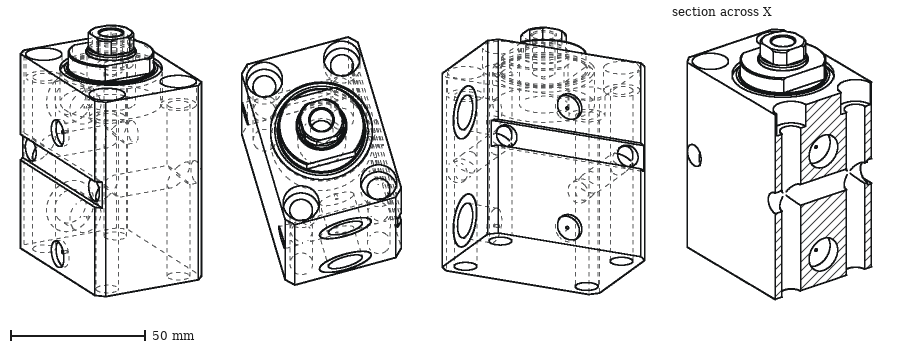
import cadquery as cq
import math

TOTAL_HEIGHT = 91.0

BLOCK_X = 65.0
BLOCK_Y = 45.0
BLOCK_Z = 77.0
CORNER_CHAMFER = 3.0

SCREW_X = 25.0
SCREW_Y = 15.0
SCREW_DIAMETER = 8.5
COUNTERBORE_DIAMETER = 13.5
COUNTERBORE_DEPTH = 9.0
CROSS_HOLE_Z = 40.0

SLOT_HEIGHT = 10.2
SLOT_DEPTH = 2.0

SIDE_PORT_HEIGHTS = (12.0, 55.0)
SIDE_PORT_DIAMETER = 13.1
SIDE_PORT_DEPTH = 12.0
SPOTFACE_DIAMETER = 20.0
SPOTFACE_DEPTH = 0.1

FRONT_PORT_HEIGHTS = (7.0, 55.0)
FRONT_PILOT_HEIGHTS = (7.5, 55.0)
FRONT_PORT_DIAMETER = 10.0
FRONT_PORT_DEPTH = 2.0

PILOT_DIAMETER = 1.0
PILOT_DEPTH = 2.0

PLUG_DIAMETER = 38.0
PLUG_DEPTH = 13.65
PLUG_CHAMFER = 1.6
COLLAR_DIAMETER = 32.0
COLLAR_HEIGHT = 6.4
COLLAR_CHAMFER = 0.5
COLLAR_FLATS = 25.9
FOOT_FLARE = 0.5
FOOT_HEIGHT = 0.4
GLAND_BORE_CHAMFER = 0.5

ROD_DIAMETER = 18.0
SHANK_RISE = 8.0
SHANK_CHAMFER = 0.6
HEAD_DIAMETER = 17.0
HEAD_FLATS = 15.0
HEAD_CHAMFER = 0.6
ROD_HOLE_DIAMETER = 8.55
ROD_HOLE_DEPTH = 15.0
ROD_HOLE_CHAMFER = 0.5
DRILL_ANGLE = 118

SEAT_FLOOR_Z = BLOCK_Z - PLUG_DEPTH
SHANK_TOP_Z = BLOCK_Z + SHANK_RISE


def upright_cylinder(diameter, bottom_z, top_z):
    """Cylinder on the Z axis between two heights."""
    base = cq.Workplane("XY").workplane(offset=bottom_z)
    return base.circle(diameter / 2).extrude(top_z - bottom_z)


def upright_prism(size_x, size_y, bottom_z, top_z):
    """Rectangular block on the Z axis between two heights."""
    base = cq.Workplane("XY").workplane(offset=bottom_z)
    return base.rect(size_x, size_y).extrude(top_z - bottom_z)


def bore_from_left(diameter, depth, start_depth, height):
    """Round cutter going in +X from a given depth below the -X face."""
    start = cq.Vector(start_depth - BLOCK_X / 2, 0, height)
    return cq.Workplane(cq.Solid.makeCylinder(diameter / 2, depth, start, cq.Vector(1, 0, 0)))


def bore_from_front(diameter, depth, start_depth, height, x=0):
    """Round cutter going in +Y from a given depth below the -Y face."""
    start = cq.Vector(x, start_depth - BLOCK_Y / 2, height)
    return cq.Workplane(cq.Solid.makeCylinder(diameter / 2, depth, start, cq.Vector(0, 1, 0)))


def cut_screw_holes(block):
    """Counterbored vertical holes near the corners, and the two cross holes."""
    block = (
        block.faces(">Z").workplane(origin=(0, 0, BLOCK_Z))
        .rect(2 * SCREW_X, 2 * SCREW_Y, forConstruction=True).vertices()
        .cboreHole(SCREW_DIAMETER, COUNTERBORE_DIAMETER, COUNTERBORE_DEPTH)
    )
    for x in (-SCREW_X, SCREW_X):
        block = block.cut(bore_from_front(SCREW_DIAMETER, BLOCK_Y, 0, CROSS_HOLE_Z, x))
    return block


def cut_slot(block):
    """Shallow slot over the full width of the -Y face."""
    slot = cq.Workplane("XY").box(BLOCK_X, 2 * SLOT_DEPTH, SLOT_HEIGHT)
    return block.cut(slot.translate((0, -BLOCK_Y / 2, CROSS_HOLE_Z)))


def cut_side_ports(block):
    """Spotface, port and fine bore at each height on the -X face."""
    for height in SIDE_PORT_HEIGHTS:
        block = block.cut(bore_from_left(SPOTFACE_DIAMETER, SPOTFACE_DEPTH, 0, height))
        block = block.cut(bore_from_left(SIDE_PORT_DIAMETER, SIDE_PORT_DEPTH, 0, height))
        block = block.cut(bore_from_left(PILOT_DIAMETER, PILOT_DEPTH, SIDE_PORT_DEPTH, height))
    return block


def cut_front_ports(block):
    """Shallow port and fine bore at each height on the -Y face."""
    for port_z, pilot_z in zip(FRONT_PORT_HEIGHTS, FRONT_PILOT_HEIGHTS):
        block = block.cut(bore_from_front(FRONT_PORT_DIAMETER, FRONT_PORT_DEPTH, 0, port_z))
        block = block.cut(bore_from_front(PILOT_DIAMETER, PILOT_DEPTH, FRONT_PORT_DEPTH, pilot_z))
    return block


def make_housing():
    """Block with chamfered upright corners and a round seat for the gland."""
    block = upright_prism(BLOCK_X, BLOCK_Y, 0, BLOCK_Z).edges("|Z").chamfer(CORNER_CHAMFER)
    block = cut_screw_holes(block)
    block = cut_slot(block)
    block = cut_side_ports(block)
    block = cut_front_ports(block)
    return block.cut(upright_cylinder(PLUG_DIAMETER, SEAT_FLOOR_Z, BLOCK_Z))


def make_gland():
    """Chamfered plug, flared foot and flatted collar, bored through for the rod."""
    collar_top_z = BLOCK_Z + COLLAR_HEIGHT
    foot_top_z = BLOCK_Z + FOOT_HEIGHT

    plug = upright_cylinder(PLUG_DIAMETER, SEAT_FLOOR_Z, BLOCK_Z).faces(">Z").chamfer(PLUG_CHAMFER)
    foot = cq.Workplane(cq.Solid.makeCone(
        COLLAR_DIAMETER / 2 + FOOT_FLARE, COLLAR_DIAMETER / 2, FOOT_HEIGHT, cq.Vector(0, 0, BLOCK_Z)
    ))
    collar = upright_cylinder(COLLAR_DIAMETER, foot_top_z, collar_top_z)
    collar = collar.faces(">Z").chamfer(COLLAR_CHAMFER)
    collar = collar.intersect(upright_prism(COLLAR_FLATS, COLLAR_DIAMETER, foot_top_z, collar_top_z))

    gland = plug.union(foot).union(collar)
    gland = gland.cut(upright_cylinder(ROD_DIAMETER, SEAT_FLOOR_Z, collar_top_z))
    mouth = cq.Workplane(cq.Solid.makeCone(
        ROD_DIAMETER / 2, ROD_DIAMETER / 2 + GLAND_BORE_CHAMFER, GLAND_BORE_CHAMFER,
        cq.Vector(0, 0, collar_top_z - GLAND_BORE_CHAMFER),
    ))
    return gland.cut(mouth)


def make_rod_hole():
    """Cutter for the rod's centre hole: chamfered mouth and drill-point bottom."""
    radius = ROD_HOLE_DIAMETER / 2
    mouth_radius = radius + ROD_HOLE_CHAMFER
    floor_z = TOTAL_HEIGHT - ROD_HOLE_DEPTH
    tip_z = floor_z - radius / math.tan(math.radians(DRILL_ANGLE / 2))
    profile = [
        (0, tip_z),
        (radius, floor_z),
        (radius, TOTAL_HEIGHT - ROD_HOLE_CHAMFER),
        (mouth_radius, TOTAL_HEIGHT),
        (0, TOTAL_HEIGHT),
    ]
    return cq.Workplane("XZ").polyline(profile).close().revolve()


def make_rod():
    """Shank filling the gland bore, topped by the square head."""
    shank = upright_cylinder(ROD_DIAMETER, SEAT_FLOOR_Z, SHANK_TOP_Z).faces(">Z").chamfer(SHANK_CHAMFER)
    head = upright_cylinder(HEAD_DIAMETER, SHANK_TOP_Z, TOTAL_HEIGHT).faces(">Z").chamfer(HEAD_CHAMFER)
    head = head.intersect(upright_prism(HEAD_FLATS, HEAD_FLATS, SHANK_TOP_Z, TOTAL_HEIGHT))
    return shank.union(head).cut(make_rod_hole())


housing = make_housing()
gland = make_gland()
rod = make_rod()

result = cq.Compound.makeCompound([housing.val(), gland.val(), rod.val()])